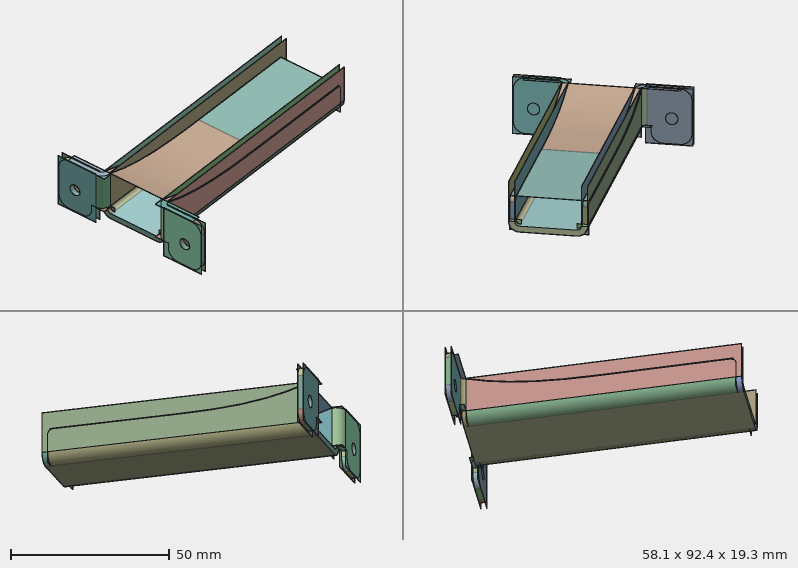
import cadquery as cq

LENGTH = 92.4
WIDTH = 58.1
HEIGHT = 19.3

SHEET = 2.0
BEND_INNER = 1.5
BEND_OUTER = BEND_INNER + SHEET
SKIN = 0.1
MARGIN = 0.3

CHANNEL_HALF = 12.8
CHANNEL_BOTTOM = 2.4
WALL_INNER = CHANNEL_HALF - SHEET
WALL_BOTTOM = CHANNEL_BOTTOM + BEND_OUTER
WALL_FRONT = BEND_OUTER
CORE_REAR = 90.6
BASE_HALF = CHANNEL_HALF - BEND_OUTER
BASE_FACING_INNER = 9.0

DECK_HALF = CHANNEL_HALF + MARGIN
DECK_LEVEL = 13.6
DECK_FRONT_LEVEL = HEIGHT - MARGIN
DECK_REAR = 89.7
RAMP_START = 48.1
RAMP_END_SLOPE = 0.34
CORE_CORNER_RADIUS = 1.85

EAR_OUTER = WIDTH / 2 - MARGIN
EAR_INNER = 15.6
EAR_BOTTOM = MARGIN
EAR_TOP = HEIGHT - MARGIN
EAR_CORNER_RADIUS = 3.7
EAR_BEND_START = CHANNEL_HALF + BEND_INNER
EAR_FACING_INNER = 13.8
CAP_INNER = 10.35
TOP_CAP_OUTER = 25.3
NOTCH_CAP_OUTER = 16.0
HOLE_X = 22.3
HOLE_Z = 8.8
HOLE_DIAMETER = 4.0


def box(x_range, y_range, z_range):
    """Box between pairs of low and high coordinates."""
    x_size, y_size, z_size = (high - low for low, high in (x_range, y_range, z_range))
    corner = (x_range[0], y_range[0], z_range[0])
    return cq.Workplane("XY").box(x_size, y_size, z_size, centered=False).translate(corner)


def quarter_bend(height):
    """Quarter ring about the Z axis, in the -X +Y quadrant, from z = 0 up to the height."""
    ring = cq.Workplane("XY").circle(BEND_OUTER).circle(BEND_INNER).extrude(height)
    return ring.intersect(box((-BEND_OUTER, 0), (0, BEND_OUTER), (0, height)))


def on_side(body, side):
    """The body itself for the +X side (1), its mirror image for the -X side (-1)."""
    return body if side > 0 else body.mirror("YZ")


def base_side(side):
    """Upturned bend along one edge of the base, with a square facing near each end."""
    bend = (
        quarter_bend(LENGTH - SHEET)
        .rotate((0, 0, 0), (1, 0, 0), -90)
        .mirror("YZ")
        .translate((BASE_HALF, SHEET, WALL_BOTTOM))
    )
    facing_x = (BASE_FACING_INNER, CHANNEL_HALF)
    facing_z = (CHANNEL_BOTTOM, WALL_BOTTOM)
    for facing_y in (WALL_FRONT, CORE_REAR - SKIN):
        bend = bend.union(box(facing_x, (facing_y, facing_y + SKIN), facing_z))
    return on_side(bend, side)


def make_base():
    """Flat base plate with a bend along each long edge."""
    base = box(
        (-BASE_HALF, BASE_HALF),
        (SHEET, LENGTH),
        (CHANNEL_BOTTOM, CHANNEL_BOTTOM + SHEET),
    )
    for side in (-1, 1):
        base = base.union(base_side(side))
    return base


def block_under_deck(half_width, rear):
    """Solid centred on x = 0 from the wall bottom up to the deck surface, ending at the rear."""
    handle = (RAMP_START - WALL_FRONT) / 3
    ramp = [
        (RAMP_START, DECK_LEVEL),
        (RAMP_START - handle, DECK_LEVEL),
        (WALL_FRONT + handle, DECK_FRONT_LEVEL - handle * RAMP_END_SLOPE),
        (WALL_FRONT, DECK_FRONT_LEVEL),
    ]
    return (
        cq.Workplane("YZ", origin=(-half_width, 0, 0))
        .moveTo(WALL_FRONT, WALL_BOTTOM)
        .lineTo(rear, WALL_BOTTOM)
        .lineTo(rear, DECK_LEVEL)
        .lineTo(RAMP_START, DECK_LEVEL)
        .bezier(ramp)
        .close()
        .extrude(2 * half_width)
    )


def make_deck():
    """Thin deck that passes through slots in both walls."""
    block = block_under_deck(DECK_HALF, DECK_REAR)
    return block.cut(block.translate((0, 0, -SKIN)))


def make_wall(deck, side):
    """Side wall: a thick core under the deck between two thin full-height skins."""
    wall_x = (WALL_INNER, CHANNEL_HALF)
    block = block_under_deck(CHANNEL_HALF, CORE_REAR)
    block = block.faces(">Y").edges(">Z").fillet(CORE_CORNER_RADIUS)
    wall = block.intersect(box(wall_x, (0, LENGTH), (0, HEIGHT)))
    for skin_x in (WALL_INNER, CHANNEL_HALF - SKIN):
        skin = box((skin_x, skin_x + SKIN), (WALL_FRONT, LENGTH), (WALL_BOTTOM, HEIGHT))
        wall = wall.union(skin)
    return on_side(wall, side).cut(deck)


def ear_plate():
    """Thick ear with three rounded corners and the strip that joins it to the bend."""
    plate = box((EAR_INNER, EAR_OUTER), (0, SHEET), (EAR_BOTTOM, EAR_TOP))
    plate = plate.edges("|Y and >X").fillet(EAR_CORNER_RADIUS)
    plate = plate.edges("|Y and <X and <Z").fillet(EAR_CORNER_RADIUS)
    return plate.union(box((EAR_BEND_START, EAR_INNER), (0, SHEET), (WALL_BOTTOM, EAR_TOP)))


def ear_bend():
    """Bend that turns the wall outward into the ear."""
    bend = quarter_bend(EAR_TOP - WALL_BOTTOM).mirror("XZ")
    return bend.translate((EAR_BEND_START, BEND_OUTER, WALL_BOTTOM))


def ear_facings():
    """Thin rectangles over the front and back of the ear and over the ends of its bend."""
    facing_x = (EAR_FACING_INNER, WIDTH / 2)
    cap_y = (0, BEND_OUTER)
    return [
        box(facing_x, (0, SKIN), (0, HEIGHT)),
        box(facing_x, (SHEET - SKIN, SHEET), (0, HEIGHT)),
        box((CAP_INNER, TOP_CAP_OUTER), cap_y, (EAR_TOP - SKIN, EAR_TOP)),
        box((CAP_INNER, NOTCH_CAP_OUTER), cap_y, (WALL_BOTTOM, WALL_BOTTOM + SKIN)),
    ]


def make_ear(side):
    """Mounting ear with its bend, its facings and a hole closed by the back facing."""
    ear = ear_plate().union(ear_bend())
    for facing in ear_facings():
        ear = ear.union(facing)
    hole = (
        cq.Workplane("XZ")
        .center(HOLE_X, HOLE_Z)
        .circle(HOLE_DIAMETER / 2)
        .extrude(-(SHEET - SKIN))
    )
    return on_side(ear.cut(hole), side)


base = make_base()
deck = make_deck()
walls = [make_wall(deck, side) for side in (-1, 1)]
ears = [make_ear(side) for side in (-1, 1)]

result = cq.Compound.makeCompound([body.val() for body in (base, deck, *walls, *ears)])